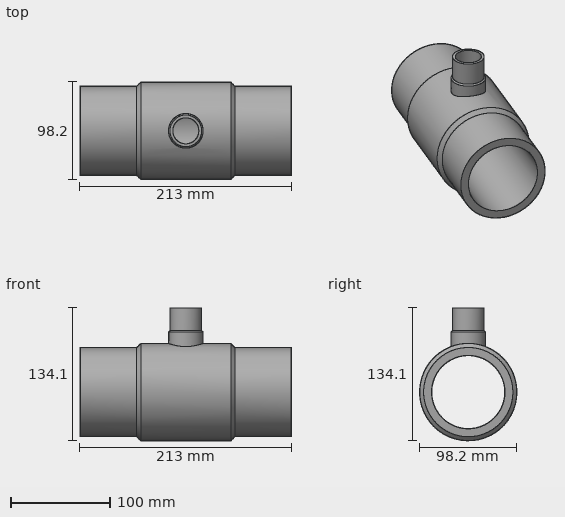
import cadquery as cq

pipe_length = 213.0
pipe_diameter = 90.0
bore_diameter = 73.6

sleeve_length = 99.0
sleeve_diameter = 98.2
sleeve_chamfer = (sleeve_diameter - pipe_diameter) / 2

branch_top = 85.0
branch_diameter = 32.0
branch_bore_diameter = 26.2

collar_top = 62.0
collar_diameter = 34.9
collar_chamfer = (collar_diameter - branch_diameter) / 2


def cylinder_along_x(diameter, length):
    end_plane = cq.Workplane("YZ").workplane(offset=-length / 2)
    return end_plane.circle(diameter / 2).extrude(length)


def cylinder_up_from_axis(diameter, top):
    return cq.Workplane("XY").circle(diameter / 2).extrude(top)


def main_run():
    pipe = cylinder_along_x(pipe_diameter, pipe_length)
    sleeve = cylinder_along_x(sleeve_diameter, sleeve_length)
    sleeve = sleeve.faces("<X or >X").edges().chamfer(sleeve_chamfer)
    return pipe.union(sleeve)


def branch():
    collar = cylinder_up_from_axis(collar_diameter, collar_top)
    collar = collar.faces(">Z").edges().chamfer(collar_chamfer)
    return collar.union(cylinder_up_from_axis(branch_diameter, branch_top))


main_bore = cylinder_along_x(bore_diameter, pipe_length)
branch_bore = cylinder_up_from_axis(branch_bore_diameter, branch_top)

result = main_run().union(branch()).cut(main_bore).cut(branch_bore)